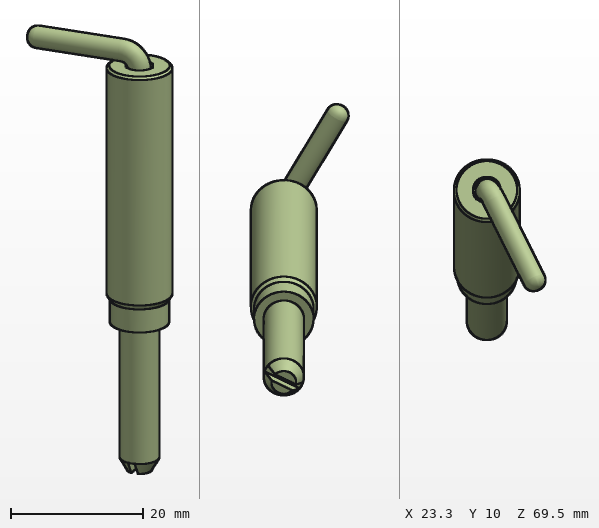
import cadquery as cq
import math

TOTAL_HEIGHT = 69.45
TIP_HEIGHT = 2.1
COLLAR_BOTTOM = 24.0
COLLAR_TOP = 27.8
SHOULDER_TOP = 28.6
HOUSING_TOP = 65.6

HOUSING_RADIUS = 5.0
COLLAR_RADIUS = 4.5
HOUSING_CHAMFER = 0.4
BORE_RADIUS = 2.1

PLUNGER_RADIUS = 3.05
TIP_RADIUS = 1.9
SLOT_WIDTH = 1.1

PIN_RADIUS = 1.75
PIN_REACH = 18.3
PIN_END_FILLET = 1.5
BEND_RADIUS = 2.8
PIN_SWING = 1.2

ARM_HEIGHT = TOTAL_HEIGHT - PIN_RADIUS
BEND_BOTTOM = ARM_HEIGHT - BEND_RADIUS


def make_pin():
    """Round rod bent from the housing axis to a level arm with a rounded end."""
    bend_offset = BEND_RADIUS * (1 - math.sqrt(0.5))
    path = (
        cq.Workplane("XZ")
        .moveTo(0, BEND_BOTTOM)
        .threePointArc((-bend_offset, ARM_HEIGHT - bend_offset), (-BEND_RADIUS, ARM_HEIGHT))
        .lineTo(-PIN_REACH, ARM_HEIGHT)
    )
    pin = cq.Workplane("XY").workplane(offset=BEND_BOTTOM).circle(PIN_RADIUS).sweep(path)
    pin = pin.faces("<X").edges().fillet(PIN_END_FILLET)
    return pin.rotate((0, 0, 0), (0, 0, 1), PIN_SWING)


def make_housing():
    """Barrel with a stepped collar below and a clearance bore whose floor carries the pin."""
    profile = [
        (0, COLLAR_BOTTOM),
        (COLLAR_RADIUS, COLLAR_BOTTOM),
        (COLLAR_RADIUS, COLLAR_TOP),
        (HOUSING_RADIUS, SHOULDER_TOP),
        (HOUSING_RADIUS, HOUSING_TOP - HOUSING_CHAMFER),
        (HOUSING_RADIUS - HOUSING_CHAMFER, HOUSING_TOP),
        (0, HOUSING_TOP),
    ]
    barrel = cq.Workplane("XZ").polyline(profile).close().revolve(360, (0, 0), (0, 1))
    bore = (
        cq.Workplane("XY")
        .workplane(offset=BEND_BOTTOM)
        .circle(BORE_RADIUS)
        .extrude(HOUSING_TOP - BEND_BOTTOM)
    )
    return barrel.cut(bore)


def make_plunger():
    """Shaft under the collar, with a tapered tip split by a slot along Y."""
    profile = [
        (0, 0),
        (TIP_RADIUS, 0),
        (PLUNGER_RADIUS, TIP_HEIGHT),
        (PLUNGER_RADIUS, COLLAR_BOTTOM),
        (0, COLLAR_BOTTOM),
    ]
    shaft = cq.Workplane("XZ").polyline(profile).close().revolve(360, (0, 0), (0, 1))
    slot = cq.Workplane("XY").rect(SLOT_WIDTH, 2 * PLUNGER_RADIUS).extrude(TIP_HEIGHT)
    return shaft.cut(slot)


pin = make_pin()
housing = make_housing()
plunger = make_plunger()

result = cq.Compound.makeCompound([pin.val(), housing.val(), plunger.val()])